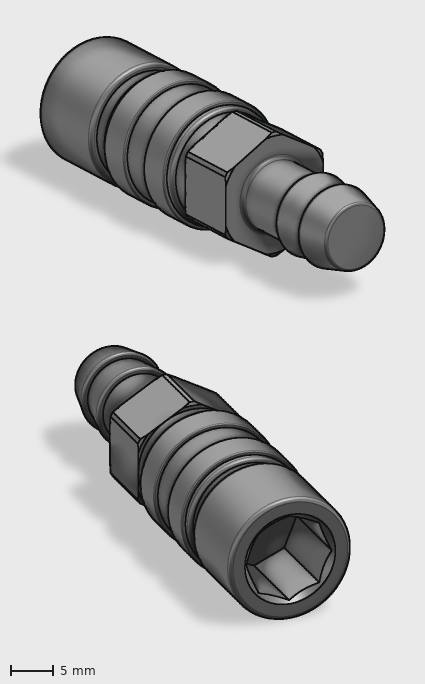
import cadquery as cq
import math


overall_length = 55.05
sleeve_end = 10.9
collar_start = 12.95
collar_end = 27.45
band_length = 4.15
band_setback = 1.05
hex_start = 29.45
hex_end = 38.05
first_barb_start = 45.9
second_barb_start = 50.55

sleeve_diameter = 15.8
neck_diameter = 14.0
collar_diameter = 15.1
band_diameter = 16.15
hex_across_flats = neck_diameter
hex_corner_diameter = sleeve_diameter
shank_diameter = 9.05
barb_diameter = 10.7
tip_diameter = 8.55

edge_radius = 0.5
band_edge_radius = 0.15
barb_edge_radius = 0.35
hex_chamfer_drop = 0.45
hex_chamfer_angle = 20.0

socket_corner_diameter = 11.0
socket_mouth_diameter = 11.65
socket_mouth_angle = 45.0
socket_depth = sleeve_end


def revolved(profile):
    """Solid turned about X from a closed (x, radius) profile."""
    return cq.Workplane("XY").polyline(profile).close().revolve(360, (0, 0, 0), (1, 0, 0))


def cylinder(start, end, diameter):
    """Solid cylinder along X between two stations."""
    return cq.Workplane("YZ", origin=(start, 0, 0)).circle(diameter / 2).extrude(end - start)


def rounded_cylinder(start, end, diameter, radius):
    """Cylinder along X with both rims rounded."""
    return cylinder(start, end, diameter).edges("%CIRCLE").fillet(radius)


def cone(start, end, start_diameter, end_diameter):
    """Solid cone frustum along X."""
    profile = [
        (start, 0),
        (start, start_diameter / 2),
        (end, end_diameter / 2),
        (end, 0),
    ]
    return revolved(profile)


def prism(start, end, sides, corner_diameter):
    """Regular prism along X with one corner pointing to +Z."""
    points = []
    for index in range(sides):
        angle = math.pi / 2 + index * 2 * math.pi / sides
        points.append((corner_diameter / 2 * math.cos(angle), corner_diameter / 2 * math.sin(angle)))
    return cq.Workplane("YZ", origin=(start, 0, 0)).polyline(points).close().extrude(end - start)


def make_coupling_body():
    """Front sleeve, necks and the collar that carries two raised bands."""
    body = rounded_cylinder(0, sleeve_end, sleeve_diameter, edge_radius)
    body = body.union(cylinder(sleeve_end - edge_radius, hex_start, neck_diameter))
    body = body.union(rounded_cylinder(collar_start, collar_end, collar_diameter, edge_radius))
    for start in (collar_start + band_setback, collar_end - band_setback - band_length):
        band = rounded_cylinder(start, start + band_length, band_diameter, band_edge_radius)
        body = body.union(band)
    return body


def make_hex():
    """Hexagon with its corners turned to a cylinder and both ends chamfered."""
    hexagon = prism(hex_start, hex_end, 6, hex_across_flats / math.cos(math.pi / 6))
    chamfer_length = hex_chamfer_drop * math.tan(math.radians(hex_chamfer_angle))
    face_radius = hex_corner_diameter / 2 - hex_chamfer_drop
    turned_profile = [
        (hex_start, 0),
        (hex_start, face_radius),
        (hex_start + chamfer_length, hex_corner_diameter / 2),
        (hex_end - chamfer_length, hex_corner_diameter / 2),
        (hex_end, face_radius),
        (hex_end, 0),
    ]
    turned_blank = revolved(turned_profile)
    return hexagon.intersect(turned_blank)


def make_hose_tail():
    """Shank with a filleted root and two barbs that taper towards the tip."""
    root_flare = (
        cq.Workplane("XY")
        .moveTo(hex_end, 0)
        .lineTo(hex_end, shank_diameter / 2 + edge_radius)
        .radiusArc((hex_end + edge_radius, shank_diameter / 2), -edge_radius)
        .lineTo(hex_end + edge_radius, 0)
        .close()
        .revolve(360, (0, 0, 0), (1, 0, 0))
    )
    first_barb = cone(first_barb_start, second_barb_start, barb_diameter, shank_diameter)
    first_barb = first_barb.edges("<X").fillet(barb_edge_radius)
    second_barb = cone(second_barb_start, overall_length, barb_diameter, tip_diameter)
    second_barb = second_barb.edges("<X or >X").fillet(barb_edge_radius)
    shank = cylinder(hex_end, first_barb_start + barb_edge_radius, shank_diameter)
    return shank.union(root_flare).union(first_barb).union(second_barb)


def make_socket():
    """Octagonal pocket with a conical lead-in at the mouth."""
    pocket = prism(0, socket_depth, 8, socket_corner_diameter)
    lead_in_end_diameter = socket_mouth_diameter / 2
    lead_in_drop = (socket_mouth_diameter - lead_in_end_diameter) / 2
    lead_in_length = lead_in_drop / math.tan(math.radians(socket_mouth_angle))
    return pocket.union(cone(0, lead_in_length, socket_mouth_diameter, lead_in_end_diameter))


result = make_coupling_body().union(make_hex()).union(make_hose_tail()).cut(make_socket())